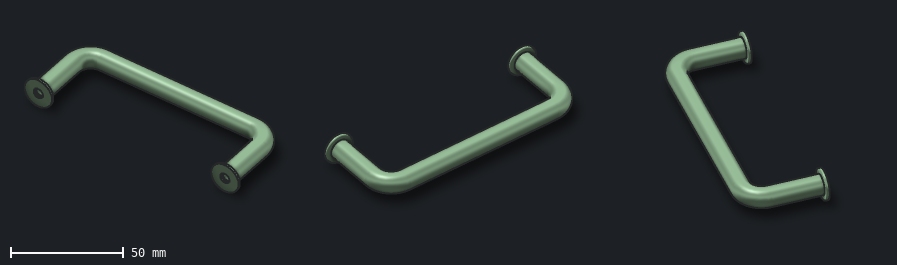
import cadquery as cq
import math

overall_length = 117.0
overall_depth = 41.0
bar_diameter = 10.0
bend_radius = 10.0
flange_diameter = 15.0
flange_thickness = 1.5
flange_edge_radius = 0.6
mouth_diameter = 5.0
mouth_depth = 1.0
screw_diameter = 4.1
screw_depth = 11.7
drill_tip_angle = 118.0

leg_x = (overall_length - flange_diameter) / 2
grip_y = overall_depth - bar_diameter / 2
bend_start_y = grip_y - bend_radius
grip_end_x = leg_x - bend_radius
bend_mid_offset = bend_radius * math.sin(math.radians(45))


def make_bar():
    """Round bar bent into a U in the XY plane."""
    path = (
        cq.Workplane("XY")
        .moveTo(-leg_x, 0)
        .lineTo(-leg_x, bend_start_y)
        .threePointArc(
            (-grip_end_x - bend_mid_offset, bend_start_y + bend_mid_offset),
            (-grip_end_x, grip_y),
        )
        .lineTo(grip_end_x, grip_y)
        .threePointArc(
            (grip_end_x + bend_mid_offset, bend_start_y + bend_mid_offset),
            (leg_x, bend_start_y),
        )
        .lineTo(leg_x, 0)
    )
    return cq.Workplane("XZ", origin=(-leg_x, 0, 0)).circle(bar_diameter / 2).sweep(path)


def make_flange(x):
    """Disc at the foot of a leg, with its leg-side rim rounded."""
    return (
        cq.Workplane("XZ", origin=(x, 0, 0))
        .circle(flange_diameter / 2)
        .extrude(-flange_thickness)
        .faces(">Y")
        .edges()
        .fillet(flange_edge_radius)
    )


def make_screw_hole(x):
    """Cutter for the countersunk blind hole with a conical tip."""
    mouth_radius = mouth_diameter / 2
    screw_radius = screw_diameter / 2
    tip_depth = screw_radius / math.tan(math.radians(drill_tip_angle / 2))
    countersink_depth = mouth_radius - screw_radius
    return (
        cq.Workplane("XY", origin=(x, 0, 0))
        .moveTo(0, 0)
        .lineTo(mouth_radius, 0)
        .lineTo(mouth_radius, mouth_depth)
        .lineTo(screw_radius, mouth_depth + countersink_depth)
        .lineTo(screw_radius, screw_depth)
        .lineTo(0, screw_depth + tip_depth)
        .close()
        .revolve(360, (0, 0, 0), (0, 1, 0))
    )


result = make_bar()
for foot_x in (-leg_x, leg_x):
    result = result.union(make_flange(foot_x))
    result = result.cut(make_screw_hole(foot_x))